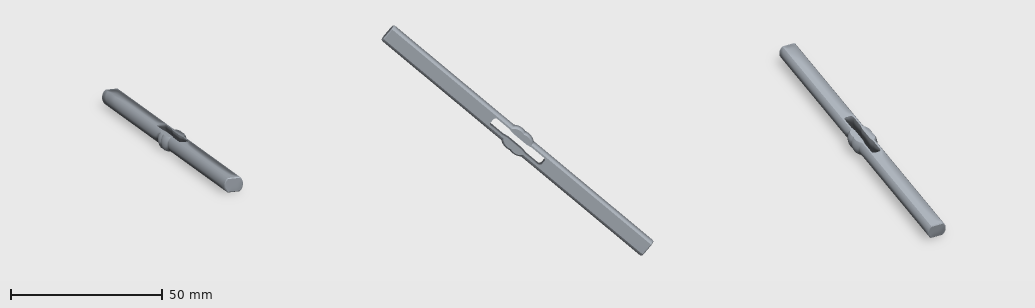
import cadquery as cq
import math

length = 112.5
thickness = 5.0
rod_radius = 3.3
end_chamfer = 0.3

bulge_radius = 4.285
lobe_arc_radius = 4.75
lobe_offset = 1.35

slot_length = 22.0
slot_width = 3.2
slot_corner_radius = 1.0
waist_width = 2.5
waist_length = 6.0
ramp_length = 2.0


def make_flats():
    """Slab that trims the rod and bulge to flat top and bottom faces."""
    return cq.Workplane("XY").box(length, 2 * bulge_radius, thickness)


def make_rod():
    """Round bar along X with flat top and bottom and a chamfer around both ends."""
    bar = cq.Workplane("YZ").circle(rod_radius).extrude(length / 2, both=True)
    return bar.intersect(make_flats()).faces("<X or >X").chamfer(end_chamfer)


def make_bulge():
    """Two overlapping lobes revolved about X, meeting in a shallow crease at X = 0."""
    arc_center = bulge_radius - lobe_arc_radius
    reach = math.sqrt(lobe_arc_radius**2 - (rod_radius - arc_center) ** 2)
    end_x = lobe_offset + reach
    crease_radius = arc_center + math.sqrt(lobe_arc_radius**2 - lobe_offset**2)
    return (
        cq.Workplane("XY")
        .moveTo(-end_x, 0)
        .lineTo(-end_x, rod_radius)
        .threePointArc((-lobe_offset, bulge_radius), (0, crease_radius))
        .threePointArc((lobe_offset, bulge_radius), (end_x, rod_radius))
        .lineTo(end_x, 0)
        .close()
        .revolve(360, (0, 0, 0), (1, 0, 0))
    )


def make_slot():
    """Rounded slot cut through Z, narrowed by a ramped waist in the middle."""
    slot = (
        cq.Workplane("XY")
        .box(slot_length, slot_width, 2 * thickness)
        .edges("|Z")
        .fillet(slot_corner_radius)
    )
    waist_half = waist_length / 2
    ramp_end = waist_half + ramp_length
    for side in (1, -1):
        wall_y = side * slot_width / 2
        waist_y = side * waist_width / 2
        pad_outline = [
            (-ramp_end, wall_y),
            (-waist_half, waist_y),
            (waist_half, waist_y),
            (ramp_end, wall_y),
        ]
        pad = cq.Workplane("XY").polyline(pad_outline).close().extrude(thickness, both=True)
        slot = slot.cut(pad)
    return slot


bulge = make_bulge().intersect(make_flats())
result = make_rod().union(bulge).cut(make_slot())